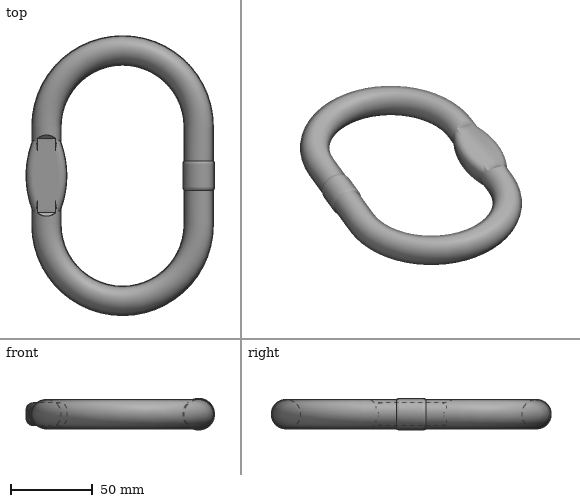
import cadquery as cq
import math

ring_length = 170.9
ring_width = 111.0
wire_diameter = 18.0
wire_radius = wire_diameter / 2
bend_radius = (ring_width - wire_diameter) / 2
straight_half = (ring_length - ring_width) / 2

collar_diameter = 19.3
collar_length = 18.0
collar_shoulder_length = 1.9
collar_radius = collar_diameter / 2

hub_half_width = 12.5
hub_half_height = 7.0
hub_side_radius = 58.1
hub_edge_fillet = 4.6
hub_half_length = 25.6

flat_half_length = 22.5
flat_end_run = 2.2


def make_ring():
    path = (
        cq.Workplane("XY")
        .moveTo(bend_radius, -straight_half)
        .lineTo(bend_radius, straight_half)
        .threePointArc((0, straight_half + bend_radius), (-bend_radius, straight_half))
        .lineTo(-bend_radius, -straight_half)
        .threePointArc((0, -straight_half - bend_radius), (bend_radius, -straight_half))
        .close()
    )
    section = cq.Workplane("XZ", origin=(bend_radius, -straight_half, 0)).circle(wire_radius)
    return section.sweep(path)


def make_collar():
    half = collar_length / 2
    land_half = half - collar_shoulder_length
    shoulder_height = collar_radius - wire_radius
    shoulder_radius = (collar_shoulder_length**2 + shoulder_height**2) / (2 * shoulder_height)
    shoulder_center = collar_radius - shoulder_radius
    mid_step = collar_shoulder_length / 2
    mid_radius = shoulder_center + math.sqrt(shoulder_radius**2 - mid_step**2)
    collar = (
        cq.Workplane("XY")
        .moveTo(0, -half)
        .lineTo(wire_radius, -half)
        .threePointArc((mid_radius, -land_half - mid_step), (collar_radius, -land_half))
        .lineTo(collar_radius, land_half)
        .threePointArc((mid_radius, land_half + mid_step), (wire_radius, half))
        .lineTo(0, half)
        .close()
        .revolve(360, (0, 0), (0, 1))
    )
    return collar.translate((bend_radius, 0, 0))


def make_hub():
    side_sag = hub_side_radius - math.sqrt(hub_side_radius**2 - hub_half_length**2)
    end_half_width = hub_half_width - side_sag
    hub = (
        cq.Workplane("XY")
        .moveTo(end_half_width, -hub_half_length)
        .threePointArc((hub_half_width, 0), (end_half_width, hub_half_length))
        .lineTo(-end_half_width, hub_half_length)
        .threePointArc((-hub_half_width, 0), (-end_half_width, -hub_half_length))
        .close()
        .extrude(hub_half_height, both=True)
    )
    curved_edges = hub.edges("%CIRCLE")
    return curved_edges.fillet(hub_edge_fillet).translate((-bend_radius, 0, 0))


def make_flat_cutter(side):
    """Trapezoidal cutter above (side=1) or below (side=-1) the -X leg."""
    floor = side * hub_half_height
    surface = side * wire_radius
    outer_half_length = flat_half_length + flat_end_run
    profile = [
        (-flat_half_length, floor),
        (flat_half_length, floor),
        (outer_half_length, surface),
        (-outer_half_length, surface),
    ]
    cutter = cq.Workplane("YZ").polyline(profile).close().extrude(hub_half_width, both=True)
    return cutter.translate((-bend_radius, 0, 0))


result = make_ring().union(make_collar()).union(make_hub())
for side in (1, -1):
    result = result.cut(make_flat_cutter(side))